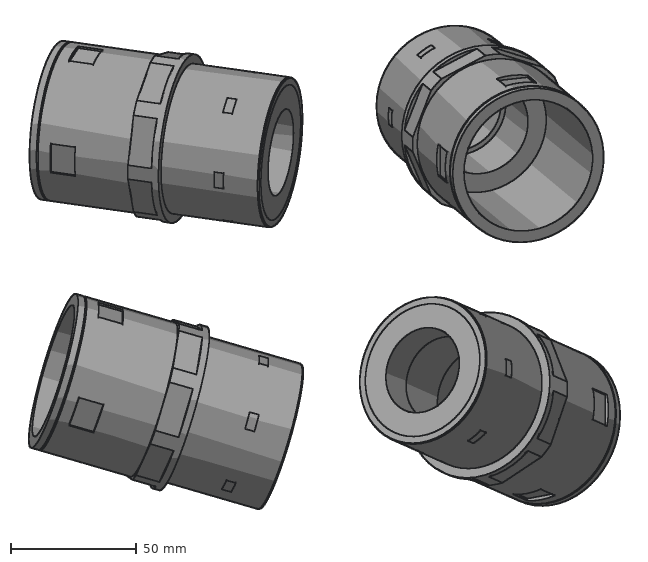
import cadquery as cq

length = 95.0

sleeve_diameter = 64.0
collar_diameter = 68.0
spigot_diameter = 60.5
bore_diameter = 54.5
collar_start = 41.6
collar_end = 54.3
end_chamfer_length = 0.6
end_chamfer_height = 0.3

groove_diameter = 58.0
groove_start = 2.9
groove_width = 0.7

flat_count = 8
across_flats = 65.0
flat_length = 9.8

pocket_count = 4
pocket_start = 8.6
pocket_length = 10.3
pocket_width = 13.0
pocket_floor_radius = 30.5

lug_count = 6
lug_start = 76.4
lug_length = 3.9
lug_width = 6.9

insert_start = collar_end
insert_bore_diameter = 39.0
lip_bore_diameter = 35.0
lip_start = lug_start + lug_length


def cylinder(diameter, start, end):
    """Solid cylinder on the X axis."""
    return cq.Workplane("YZ", origin=(start, 0, 0)).circle(diameter / 2).extrude(end - start)


def around_axis(shape, count, first_angle=0.0):
    """Copies of a shape spread evenly around the X axis."""
    copies = []
    for index in range(count):
        angle = first_angle + index * 360.0 / count
        copies.append(shape.rotate((0, 0, 0), (1, 0, 0), angle))
    return copies


def radial_block(start, block_length, width, inner_radius, outer_radius):
    """Box on the -Y side of the axis, reaching from one radius to another."""
    return cq.Workplane("XY").box(
        block_length, outer_radius - inner_radius, width, centered=(False, False, True)
    ).translate((start, -outer_radius, 0))


def make_lugs():
    """Blocks from inside the insert wall to the round spigot surface."""
    root_radius = (insert_bore_diameter + bore_diameter) / 4
    block = radial_block(lug_start, lug_length, lug_width, root_radius, collar_diameter / 2)
    lug = block.intersect(cylinder(spigot_diameter, lug_start, lug_start + lug_length))
    return around_axis(lug, lug_count)


def make_spigot():
    """Solid spigot with a slim chamfer at its free end."""
    radius = spigot_diameter / 2
    profile = (
        cq.Workplane("XY")
        .moveTo(collar_start, 0)
        .lineTo(collar_start, radius)
        .lineTo(length - end_chamfer_length, radius)
        .lineTo(length, radius - end_chamfer_height)
        .lineTo(length, 0)
        .close()
    )
    return profile.revolve(360, (0, 0, 0), (1, 0, 0))


def make_collar():
    """Round collar with wrench flats over the part of it next to the sleeve."""
    collar = cylinder(collar_diameter, collar_start, collar_end)
    flat_cut = radial_block(
        collar_start, flat_length, collar_diameter, across_flats / 2, collar_diameter
    )
    half_step = 180.0 / flat_count
    for cut in around_axis(flat_cut, flat_count, half_step):
        collar = collar.cut(cut)
    return collar


def make_sleeve():
    """Solid sleeve with the groove and the flat-floored pockets."""
    sleeve = cylinder(sleeve_diameter, 0, collar_start)
    groove_end = groove_start + groove_width
    groove = cylinder(collar_diameter, groove_start, groove_end).cut(
        cylinder(groove_diameter, groove_start, groove_end)
    )
    sleeve = sleeve.cut(groove)
    pocket = radial_block(
        pocket_start, pocket_length, pocket_width, pocket_floor_radius, collar_diameter / 2
    )
    for cut in around_axis(pocket, pocket_count):
        sleeve = sleeve.cut(cut)
    return sleeve


def make_housing():
    """Outer body: bored through, with a window for each lug of the insert."""
    housing = make_sleeve().union(make_collar()).union(make_spigot())
    housing = housing.cut(cylinder(bore_diameter, 0, length))
    for lug in make_lugs():
        housing = housing.cut(lug)
    return housing


def make_insert():
    """Ring in the spigot bore, held by its lugs, with a narrower lip at the far end."""
    insert = cylinder(bore_diameter, insert_start, length)
    insert = insert.cut(cylinder(insert_bore_diameter, insert_start, lip_start))
    insert = insert.cut(cylinder(lip_bore_diameter, lip_start, length))
    for lug in make_lugs():
        insert = insert.union(lug)
    return insert


housing = make_housing()
insert = make_insert()

result = cq.Compound.makeCompound([housing.solids().val(), insert.solids().val()])